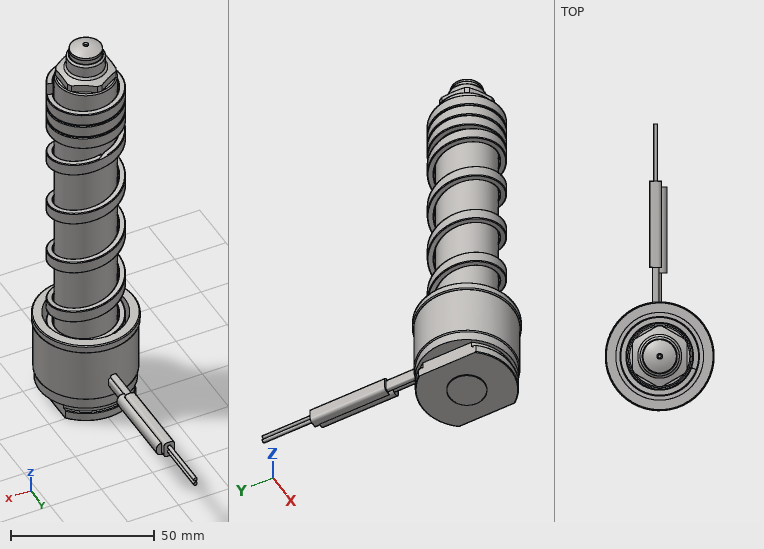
import cadquery as cq
import math

TOTAL_HEIGHT = 156.2
OVERLAP = 1.5

FOOT_RADIUS, FOOT_HEIGHT = 7.0, 0.5
BASE_RADIUS, BASE_TOP = 18.0, 4.2
GROOVE_RADIUS, GROOVE_TOP = 16.9, 6.5
BASE_CHAMFER = 0.3
FLAT_OFFSET = 13.8
COLLAR_RADIUS, COLLAR_TOP = 18.1, 10.5
BODY_RADIUS, BODY_TOP = 18.5, 31.9
BODY_CHAMFER = 0.4
RIM_RADIUS, RIM_TOP = 19.0, 35.2
RIM_CHAMFER = 0.4
RECESS_RADIUS = 15.3

SHAFT_RADIUS, SHAFT_TOP = 11.0, 142.5
SHAFT_CHAMFER = 0.5
HEX_ACROSS_FLATS, HEX_CORNER_DIAMETER = 19.1, 21.1
HEX_TOP = 146.1
HEX_CROWN_DROP = 1.0
NOSE_RADIUS, NOSE_TOP = 6.85, 151.2
NOSE_FLARE = 0.8
NECK_RADIUS, NECK_TOP = 5.8, 153.6
NECK_SHOULDER_RADIUS, NECK_SHOULDER_HEIGHT = 6.1, 0.7
TIP_RADIUS, TIP_EDGE = 5.85, 154.6
ORIFICE_RADIUS, ORIFICE_DEPTH = 0.55, 5.0
COUNTERSINK_RADIUS = 1.05

SPRING_OUTER_RADIUS, SPRING_INNER_RADIUS = 13.85, 11.5
WIRE_HEIGHT, WIRE_CHAMFER = 4.85, 0.3
CLOSED_PITCH, OPEN_PITCH = 5.25, 22.15
LOWER_BLEND_PITCH, UPPER_BLEND_PITCH = 14.0, 15.2
SPRING_TOP = 139.7
TOP_END_ANGLE = 340.0
CLOSED_TURNS, BLEND_TURNS, OPEN_TURNS = 3.194, 0.5, 3.361
SPRING_SINK = 0.4

CABLE_Z = 17.5
CABLE_WIDTH, SLEEVE_WIDTH = 2.35, 4.2
UPPER_CABLE_HEIGHT, UPPER_SLEEVE_HEIGHT = 4.8, 6.2
LOWER_CABLE_HEIGHT, LOWER_SLEEVE_HEIGHT = 4.0, 5.2
UPPER_CABLE_ROUND, UPPER_SLEEVE_ROUND = 0.6, 1.3
LOWER_ROUND_SHARE = 0.49
SLEEVE_LENGTH = 30.0
UPPER_X, UPPER_SLEEVE_START = -1.4, 31.0
LOWER_CABLE_X, LOWER_SLEEVE_X, LOWER_SLEEVE_START = -0.5, 0.5, 29.0
LOWER_DROP = 0.6
LEAD_DIAMETER, LEAD_SPACING, LEAD_END = 1.4, 1.95, 81.0

SPRING_STRETCHES = (
    (CLOSED_PITCH, CLOSED_TURNS),
    (LOWER_BLEND_PITCH, BLEND_TURNS),
    (OPEN_PITCH, OPEN_TURNS),
    (UPPER_BLEND_PITCH, BLEND_TURNS),
    (CLOSED_PITCH, CLOSED_TURNS),
)
SPRING_RISE = sum(pitch * turns for pitch, turns in SPRING_STRETCHES)
SPRING_BOTTOM = SPRING_TOP - SPRING_RISE - WIRE_HEIGHT
RECESS_FLOOR = SPRING_BOTTOM + SPRING_SINK


def disc(radius, bottom, top):
    """Cylinder on the main axis between two heights."""
    return cq.Workplane("XY").workplane(offset=bottom).circle(radius).extrude(top - bottom)


def make_base():
    """Foot and grooved base plate with two flats facing -X and +X."""
    plate = disc(BASE_RADIUS, FOOT_HEIGHT, BASE_TOP).edges().chamfer(BASE_CHAMFER)
    plate = plate.union(disc(GROOVE_RADIUS, BASE_TOP - OVERLAP, GROOVE_TOP))
    between_flats = cq.Workplane("XY").box(
        2 * FLAT_OFFSET, 2 * BASE_RADIUS, GROOVE_TOP, centered=(True, True, False)
    )
    return plate.intersect(between_flats).union(disc(FOOT_RADIUS, 0, FOOT_HEIGHT + OVERLAP))


def make_housing():
    """Collar, body and rim, with the round recess that holds the spring."""
    collar = disc(COLLAR_RADIUS, GROOVE_TOP, COLLAR_TOP)
    body = disc(BODY_RADIUS, COLLAR_TOP, BODY_TOP).faces("<Z").edges().chamfer(BODY_CHAMFER)
    rim = disc(RIM_RADIUS, BODY_TOP, RIM_TOP).edges().chamfer(RIM_CHAMFER)
    return collar.union(body).union(rim).cut(disc(RECESS_RADIUS, RECESS_FLOOR, RIM_TOP))


def make_shaft():
    """Plain shaft rising from the recess floor."""
    shaft = disc(SHAFT_RADIUS, RECESS_FLOOR - OVERLAP, SHAFT_TOP)
    return shaft.faces(">Z").edges().chamfer(SHAFT_CHAMFER)


def make_hexagon():
    """Hexagon with flats facing -X and +X, rounded corners and a coned top."""
    corner_radius = HEX_CORNER_DIAMETER / 2
    hexagon = (
        cq.Workplane("XY")
        .workplane(offset=SHAFT_TOP - OVERLAP)
        .polygon(6, HEX_ACROSS_FLATS, circumscribed=True)
        .extrude(HEX_TOP - SHAFT_TOP + OVERLAP)
    )
    crown = (
        cq.Workplane("XZ")
        .moveTo(0, SHAFT_TOP - OVERLAP)
        .lineTo(corner_radius, SHAFT_TOP - OVERLAP)
        .lineTo(corner_radius, HEX_TOP - HEX_CROWN_DROP)
        .lineTo(NOSE_RADIUS + NOSE_FLARE, HEX_TOP)
        .lineTo(0, HEX_TOP)
        .close()
        .revolve(360, (0, 0), (0, 1))
    )
    return hexagon.intersect(crown)


def make_tip():
    """Nose, neck and domed nozzle tip with its countersunk orifice."""
    dome_height = TOTAL_HEIGHT - TIP_EDGE
    dome_radius = (TIP_RADIUS**2 + dome_height**2) / (2 * dome_height)
    mid_radius = TIP_RADIUS / 2
    mid_height = TOTAL_HEIGHT - dome_radius + math.sqrt(dome_radius**2 - mid_radius**2)
    tip = (
        cq.Workplane("XZ")
        .moveTo(0, HEX_TOP - OVERLAP)
        .lineTo(NOSE_RADIUS + NOSE_FLARE, HEX_TOP - OVERLAP)
        .lineTo(NOSE_RADIUS + NOSE_FLARE, HEX_TOP)
        .lineTo(NOSE_RADIUS, HEX_TOP + NOSE_FLARE)
        .lineTo(NOSE_RADIUS, NOSE_TOP)
        .lineTo(NECK_SHOULDER_RADIUS, NOSE_TOP + NECK_SHOULDER_HEIGHT)
        .lineTo(NECK_RADIUS, NOSE_TOP + NECK_SHOULDER_HEIGHT)
        .lineTo(NECK_RADIUS, NECK_TOP)
        .lineTo(TIP_RADIUS, NECK_TOP)
        .lineTo(TIP_RADIUS, TIP_EDGE)
        .threePointArc((mid_radius, mid_height), (0, TOTAL_HEIGHT))
        .close()
        .revolve(360, (0, 0), (0, 1))
    )
    countersink_depth = COUNTERSINK_RADIUS - ORIFICE_RADIUS
    orifice = (
        cq.Workplane("XZ")
        .moveTo(0, TOTAL_HEIGHT - ORIFICE_DEPTH)
        .lineTo(ORIFICE_RADIUS, TOTAL_HEIGHT - ORIFICE_DEPTH)
        .lineTo(ORIFICE_RADIUS, TOTAL_HEIGHT - countersink_depth)
        .lineTo(COUNTERSINK_RADIUS, TOTAL_HEIGHT)
        .lineTo(0, TOTAL_HEIGHT)
        .close()
        .revolve(360, (0, 0), (0, 1))
    )
    return tip.cut(orifice)


def coil(pitch, turns, start_angle, bottom):
    """Right-hand stretch of spring wire; `bottom` is the lower edge at its start."""
    wire_width = SPRING_OUTER_RADIUS - SPRING_INNER_RADIUS
    middle_radius = (SPRING_OUTER_RADIUS + SPRING_INNER_RADIUS) / 2
    path = cq.Workplane(cq.Wire.makeHelix(pitch, pitch * turns, middle_radius))
    section = cq.Sketch().rect(wire_width, WIRE_HEIGHT).vertices().chamfer(WIRE_CHAMFER)
    return (
        cq.Workplane("XZ")
        .center(middle_radius, 0)
        .placeSketch(section)
        .sweep(path, isFrenet=True)
        .rotate((0, 0, 0), (0, 0, 1), start_angle)
        .translate((0, 0, bottom + WIRE_HEIGHT / 2))
    )


def make_spring():
    """Open coils between two close-wound ends."""
    angle = TOP_END_ANGLE - 360 * sum(turns for _, turns in SPRING_STRETCHES)
    height = SPRING_BOTTOM
    spring = cq.Workplane("XY")
    for pitch, turns in SPRING_STRETCHES:
        spring = spring.union(coil(pitch, turns, angle, height))
        angle += 360 * turns
        height += pitch * turns
    return spring


def rounded_bar(width, height, rounding, x, z, start, end):
    """Bar along Y with rounded long edges."""
    bar = cq.Workplane("XY").box(width, end - start, height).edges("|Y").fillet(rounding)
    return bar.translate((x, (start + end) / 2, z))


def make_upper_cable():
    """Flat cable leaving the housing wall and ending in a thicker sleeve centred on it."""
    cable = rounded_bar(
        CABLE_WIDTH,
        UPPER_CABLE_HEIGHT,
        UPPER_CABLE_ROUND,
        UPPER_X,
        CABLE_Z,
        BODY_RADIUS - OVERLAP,
        UPPER_SLEEVE_START + OVERLAP,
    )
    sleeve = rounded_bar(
        SLEEVE_WIDTH,
        UPPER_SLEEVE_HEIGHT,
        UPPER_SLEEVE_ROUND,
        UPPER_X,
        CABLE_Z,
        UPPER_SLEEVE_START,
        UPPER_SLEEVE_START + SLEEVE_LENGTH,
    )
    return cable.union(sleeve)


def make_lower_cable():
    """Cable and sleeve with nearly half-round edges, merging with the upper pair."""
    cable = rounded_bar(
        CABLE_WIDTH,
        LOWER_CABLE_HEIGHT,
        LOWER_ROUND_SHARE * CABLE_WIDTH,
        LOWER_CABLE_X,
        CABLE_Z - LOWER_DROP,
        BODY_RADIUS - OVERLAP,
        LOWER_SLEEVE_START + OVERLAP,
    )
    sleeve = rounded_bar(
        SLEEVE_WIDTH,
        LOWER_SLEEVE_HEIGHT,
        LOWER_ROUND_SHARE * SLEEVE_WIDTH,
        LOWER_SLEEVE_X,
        CABLE_Z - LOWER_DROP,
        LOWER_SLEEVE_START,
        LOWER_SLEEVE_START + SLEEVE_LENGTH,
    )
    return cable.union(sleeve)


def make_leads():
    """Two round leads, one above the other, leaving the upper sleeve."""
    start = UPPER_SLEEVE_START + SLEEVE_LENGTH - OVERLAP
    return (
        cq.Workplane("XZ", origin=(UPPER_X, start, CABLE_Z))
        .rarray(1, LEAD_SPACING, 1, 2)
        .circle(LEAD_DIAMETER / 2)
        .extrude(start - LEAD_END)
    )


result = (
    make_base()
    .union(make_housing())
    .union(make_shaft())
    .union(make_hexagon())
    .union(make_tip())
    .union(make_upper_cable())
    .union(make_lower_cable())
    .union(make_leads())
    .union(make_spring())
)